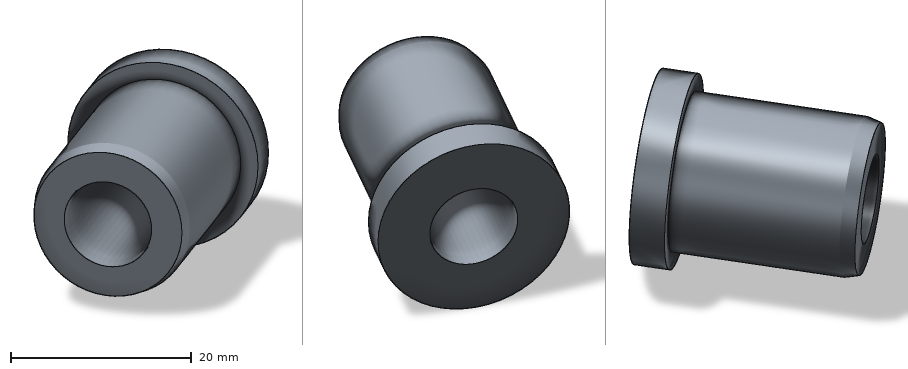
import cadquery as cq
import math

total_length = 25.0
flange_diameter = 22.0
flange_thickness = 4.0
body_diameter = 18.0
bore_diameter = 10.1
lead_in_length = 1.65
lead_in_angle = 15.0

flange_radius = flange_diameter / 2
body_radius = body_diameter / 2
bore_radius = bore_diameter / 2
tip_radius = body_radius - lead_in_length * math.tan(math.radians(lead_in_angle))
flange_face_y = total_length - flange_thickness

half_section = [
    (bore_radius, 0),
    (tip_radius, 0),
    (body_radius, lead_in_length),
    (body_radius, flange_face_y),
    (flange_radius, flange_face_y),
    (flange_radius, total_length),
    (bore_radius, total_length),
]

result = cq.Workplane("XY").polyline(half_section).close().revolve(360, (0, 0, 0), (0, 1, 0))